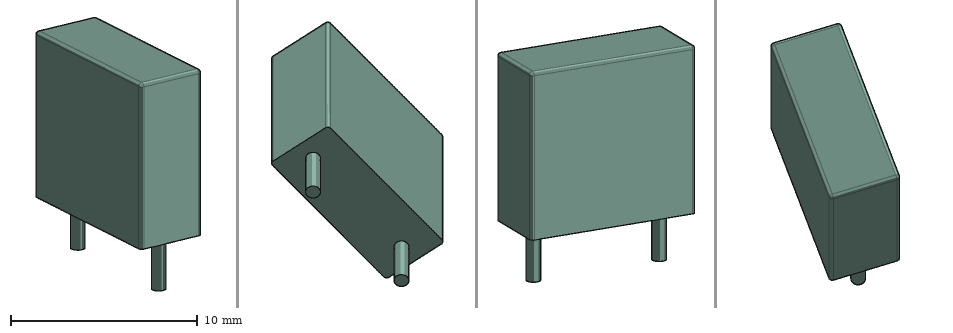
import cadquery as cq

body_length = 10.0
body_width = 4.0
total_height = 12.5
edge_radius = 0.2

lead_length = 3.0
lead_diameter = 0.8
lead_pitch = 7.62

body_height = total_height - lead_length


def make_body():
    """Block standing on Z = 0, rounded everywhere except around its bottom face."""
    block = cq.Workplane("XY").box(body_length, body_width, body_height, centered=(True, True, False))
    return block.edges("|Z or >Z").fillet(edge_radius)


def make_leads():
    """Two straight leads hanging from the bottom face, centred across the width."""
    return (
        cq.Workplane("XY")
        .pushPoints([(-lead_pitch / 2, 0), (lead_pitch / 2, 0)])
        .circle(lead_diameter / 2)
        .extrude(-lead_length)
    )


result = make_body().union(make_leads())